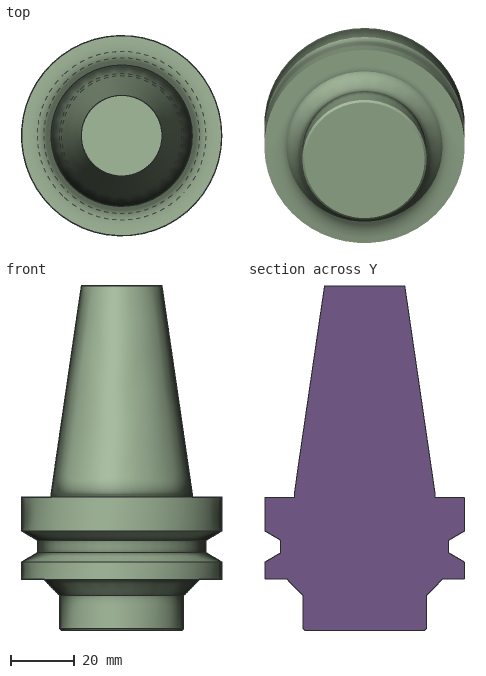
import cadquery as cq

height = 108.4
flange_top = 42.0
groove_top = 31.3
groove_bottom = 21.6
flange_bottom = 16.2
nose_top = 11.1

flange_diameter = 63.0
groove_diameter = 53.0
taper_diameter = 44.4
nose_diameter = 39.0
shoulder_diameter = 49.0

collar_height = 1.0
taper_ratio = 7 / 24
groove_wall_height = 2.9
nose_chamfer = 0.7

taper_bottom = flange_top + collar_height
tip_diameter = taper_diameter - (height - taper_bottom) * taper_ratio

flange_radius = flange_diameter / 2
groove_radius = groove_diameter / 2
taper_radius = taper_diameter / 2
nose_radius = nose_diameter / 2

profile = [
    (0, 0),
    (nose_radius - nose_chamfer, 0),
    (nose_radius, nose_chamfer),
    (nose_radius, nose_top),
    (shoulder_diameter / 2, flange_bottom),
    (flange_radius, flange_bottom),
    (flange_radius, groove_bottom),
    (groove_radius, groove_bottom + groove_wall_height),
    (groove_radius, groove_top - groove_wall_height),
    (flange_radius, groove_top),
    (flange_radius, flange_top),
    (taper_radius, flange_top),
    (taper_radius, taper_bottom),
    (tip_diameter / 2, height),
    (0, height),
]

result = cq.Workplane("XZ").polyline(profile).close().revolve(360, (0, 0), (0, 1))